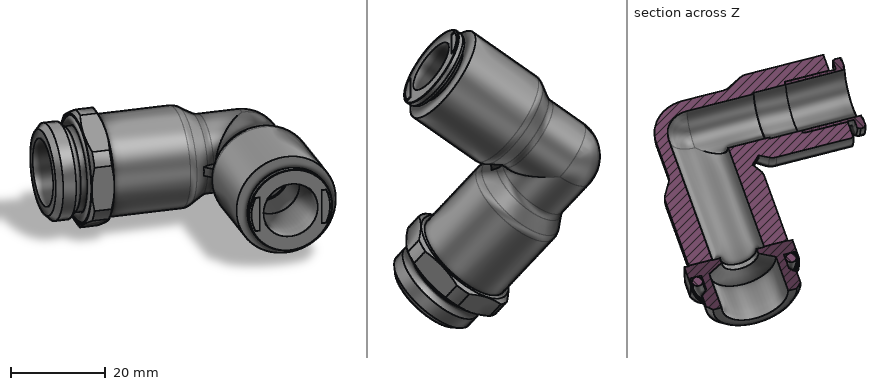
import cadquery as cq
import math


neck_radius = 8.55
leg_radius = 11.0
leg_length = 31.9
neck_length = 8.85
flare_angle = 30
flare_blend_radius = 3.05
passage_radius = 5.65

web_half_thickness = 1.0
web_reach = 20.75

tube_radius = 6.0
socket_bottom = 14.85
collet_radius = 6.7
collet_inner_end = 22.0
flange_radius = 9.25
flange_back = 33.25
flange_end = 35.05
flange_chamfer_length = 0.65
flange_chamfer_height = 0.3
flange_edge_break = 0.1
collet_blend_radius = 0.3
pad_end = 35.25
pad_half_width = 3.8
pad_inner = 6.9
pad_radius = 8.7

hex_sides = 6
hex_across_flats = 24.0
hex_corner_radius = 13.0
hex_face_radius = 11.9
hex_end = 36.95
hex_chamfer_angle = 30
thread_radius = 10.5
groove_radius = 9.2
groove_end = 38.5
groove_lip_radius = 9.35
groove_lip_end = 38.75
stud_end = 44.05
thread_chamfer = 1.25
stud_bore_radius = 7.3
stud_bore_bottom = 35.05
throat_radius = 4.0
funnel_angle = 30

ring_outer_radius = 11.55
ring_top = 37.4
ring_cord_radius = (ring_outer_radius - groove_radius) / 2
ring_center_radius = groove_radius + ring_cord_radius
ring_center = ring_top - ring_cord_radius


def along_x(start, end, radius):
    """Cylinder on the X axis between two positions."""
    return cq.Workplane("YZ", origin=(start, 0, 0)).circle(radius).extrude(end - start)


def revolve_about_x(profile):
    """Turn a closed outline (position, radius) about the X axis."""
    return profile.close().revolve(360, (0, 0, 0), (1, 0, 0))


def to_stud_leg(body):
    """Turn a body built along +X onto -Y."""
    return body.rotate((0, 0, 0), (0, 0, 1), -90)


def make_leg():
    """One flared leg of the elbow, built solid along +X."""
    slope = math.radians(flare_angle)
    half_slope = slope / 2
    blend_length = flare_blend_radius * math.sin(slope)
    blend_height = flare_blend_radius * (1 - math.cos(slope))
    mid_length = flare_blend_radius * math.sin(half_slope)
    mid_height = flare_blend_radius * (1 - math.cos(half_slope))
    cone_height = leg_radius - neck_radius - 2 * blend_height
    flare_end = neck_length + 2 * blend_length + cone_height / math.tan(slope)
    profile = (
        cq.Workplane("XY")
        .lineTo(0, neck_radius)
        .lineTo(neck_length, neck_radius)
        .threePointArc(
            (neck_length + mid_length, neck_radius + mid_height),
            (neck_length + blend_length, neck_radius + blend_height),
        )
        .lineTo(flare_end - blend_length, leg_radius - blend_height)
        .threePointArc((flare_end - mid_length, leg_radius - mid_height), (flare_end, leg_radius))
        .lineTo(leg_length, leg_radius)
        .lineTo(leg_length, 0)
    )
    return revolve_about_x(profile)


def make_web():
    """Triangular web that fills the inner corner between the legs."""
    return (
        cq.Workplane("XY", origin=(0, 0, -web_half_thickness))
        .polyline([(0, 0), (web_reach, 0), (0, -web_reach)])
        .close()
        .extrude(2 * web_half_thickness)
    )


def make_housing():
    """Elbow with a spherical corner, an angled passage and the tube socket."""
    leg = make_leg()
    corner = cq.Workplane("XY").sphere(neck_radius)
    outside = leg.union(to_stud_leg(leg)).union(corner).union(make_web())
    bore = along_x(0, leg_length, passage_radius)
    passage = bore.union(to_stud_leg(bore)).union(cq.Workplane("XY").sphere(passage_radius))
    tube_bore = along_x(socket_bottom, leg_length, tube_radius)
    collet_seat = along_x(collet_inner_end, leg_length, collet_radius)
    return outside.cut(passage).cut(tube_bore).cut(collet_seat)


def make_collet():
    """Release collet: a sleeve with an outer flange and two push pads on its end face."""
    profile = (
        cq.Workplane("XY")
        .moveTo(collet_inner_end, tube_radius)
        .lineTo(collet_inner_end, collet_radius)
        .lineTo(flange_back - collet_blend_radius, collet_radius)
        .radiusArc((flange_back, collet_radius + collet_blend_radius), -collet_blend_radius)
        .lineTo(flange_back, flange_radius - flange_chamfer_height)
        .lineTo(flange_back + flange_chamfer_length, flange_radius)
        .lineTo(flange_end - flange_edge_break, flange_radius)
        .lineTo(flange_end, flange_radius - flange_edge_break)
        .lineTo(flange_end, tube_radius)
    )
    collet = revolve_about_x(profile)
    pad_disc = along_x(flange_end, pad_end, pad_radius)
    pad_depth = pad_radius - pad_inner
    for side in (-1, 1):
        pad_block = cq.Workplane("XY").box(2 * pad_end, pad_depth, 2 * pad_half_width)
        pad_block = pad_block.translate((0, side * (pad_inner + pad_depth / 2), 0))
        collet = collet.union(pad_disc.intersect(pad_block))
    return collet


def make_hexagon():
    """Hexagon with rounded corners, chamfered on both faces, two flats facing sideways."""
    across_corners = hex_across_flats / math.cos(math.pi / hex_sides)
    prism = (
        cq.Workplane("YZ", origin=(leg_length, 0, 0))
        .polygon(hex_sides, across_corners)
        .extrude(hex_end - leg_length)
        .rotate((0, 0, 0), (1, 0, 0), 90)
    )
    chamfer_length = (hex_corner_radius - hex_face_radius) * math.tan(math.radians(hex_chamfer_angle))
    envelope = revolve_about_x(
        cq.Workplane("XY")
        .moveTo(leg_length, 0)
        .lineTo(leg_length, hex_face_radius)
        .lineTo(leg_length + chamfer_length, hex_corner_radius)
        .lineTo(hex_end - chamfer_length, hex_corner_radius)
        .lineTo(hex_end, hex_face_radius)
        .lineTo(hex_end, 0)
    )
    return prism.intersect(envelope)


def make_stud():
    """Hexagon and threaded end, bored from the end and narrowed by a funnel to a throat."""
    thread = revolve_about_x(
        cq.Workplane("XY")
        .moveTo(leg_length, 0)
        .lineTo(leg_length, groove_radius)
        .lineTo(groove_end, groove_radius)
        .lineTo(groove_lip_end, groove_lip_radius)
        .lineTo(groove_lip_end + thread_radius - groove_lip_radius, thread_radius)
        .lineTo(stud_end - thread_chamfer, thread_radius)
        .lineTo(stud_end, thread_radius - thread_chamfer)
        .lineTo(stud_end, 0)
    )
    ring_seat = along_x(ring_center - ring_cord_radius, hex_end, ring_outer_radius)
    funnel_length = (stud_bore_radius - throat_radius) * math.tan(math.radians(funnel_angle))
    bore = revolve_about_x(
        cq.Workplane("XY")
        .moveTo(leg_length, 0)
        .lineTo(leg_length, throat_radius)
        .lineTo(stud_bore_bottom - funnel_length, throat_radius)
        .lineTo(stud_bore_bottom, stud_bore_radius)
        .lineTo(stud_end, stud_bore_radius)
        .lineTo(stud_end, 0)
    )
    stud = make_hexagon().cut(ring_seat).union(thread).cut(bore)
    return to_stud_leg(stud)


def make_ring():
    """O-ring around the groove, seated in the hexagon face."""
    center = cq.Vector(ring_center, 0, 0)
    along_axis = cq.Vector(1, 0, 0)
    ring = cq.Solid.makeTorus(ring_center_radius, ring_cord_radius, center, along_axis)
    return to_stud_leg(cq.Workplane(obj=ring))


housing = make_housing()
collet = make_collet()
stud = make_stud()
ring = make_ring()

result = cq.Compound.makeCompound([housing.val(), collet.val(), stud.val(), ring.val()])